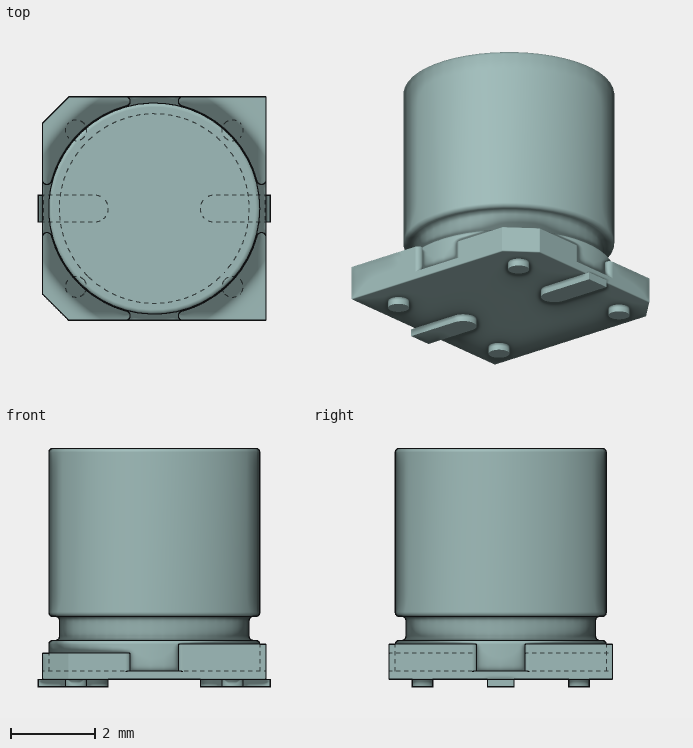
import cadquery as cq
import math

base_width = 5.3
base_bottom = 0.175
floor_top = 0.38
corner_cut = 0.625
edge_round = 0.02

low_post_top = 0.795
high_post_top = 1.01
cradle_radius = 2.52
post_face_start = 0.68

total_height = 5.65
can_diameter = 5.0
groove_diameter = 4.5
groove_bottom = 1.1
groove_top = 1.665
roll_radius = 0.095

terminal_span = 5.5
terminal_width = 0.64
terminal_inner_end = 1.09
pin_diameter = 0.5
pin_offset = 1.855

base_half = base_width / 2
can_radius = can_diameter / 2
groove_radius = groove_diameter / 2

post_room = post_face_start**2 + base_half**2 - cradle_radius**2
post_end_radius = post_room / (2 * (cradle_radius + base_half))
post_end_depth = base_half - post_end_radius


def make_base_block(bottom, top):
    """Square block with two cut corners on -X and softened upright edges."""
    height = top - bottom
    square = cq.Workplane("XY").workplane(offset=bottom).rect(base_width, base_width)
    block = square.extrude(height)
    block = block.edges("|Z and <X").chamfer(corner_cut)
    return block.edges("|Z").fillet(edge_round)


def make_floor_plate():
    plate = make_base_block(base_bottom, floor_top)
    return plate.faces("<Z or >Z").edges().fillet(edge_round)


def make_post(side_x, side_y, top):
    """One corner of the base block, hollowed by the cradle and with a full round at both ends."""
    bottom = base_bottom + edge_round
    cradle_angle = math.atan2(post_end_depth, post_face_start)
    tangent_near = cradle_radius * math.cos(cradle_angle)
    tangent_far = cradle_radius * math.sin(cradle_angle)
    cradle_middle = cradle_radius * math.sqrt(0.5)
    end_tip = post_face_start - post_end_radius

    def corner(x, y):
        return (side_x * x, side_y * y)

    post = (
        cq.Workplane("XY")
        .workplane(offset=bottom)
        .moveTo(*corner(base_half, post_face_start))
        .lineTo(*corner(base_half, base_half))
        .lineTo(*corner(post_face_start, base_half))
        .threePointArc(corner(end_tip, post_end_depth), corner(tangent_near, tangent_far))
        .threePointArc(corner(cradle_middle, cradle_middle), corner(tangent_far, tangent_near))
        .threePointArc(corner(post_end_depth, end_tip), corner(base_half, post_face_start))
        .close()
        .extrude(top - bottom)
    )
    post = post.intersect(make_base_block(bottom, top))
    return post.faces(">Z").edges().fillet(edge_round)


def make_can():
    """Revolved can whose rolled groove has a round lip, a flat shoulder and a round root on each side."""
    lip_edge = can_radius - roll_radius
    root_edge = groove_radius + roll_radius
    inset = roll_radius * (1 - math.sqrt(0.5))
    lip_middle = can_radius - inset
    root_middle = groove_radius + inset
    foot_bottom = base_bottom + edge_round

    profile = (
        cq.Workplane("XZ")
        .moveTo(0, foot_bottom)
        .lineTo(can_radius, foot_bottom)
        .lineTo(can_radius, groove_bottom - roll_radius)
        .threePointArc((lip_middle, groove_bottom - inset), (lip_edge, groove_bottom))
        .lineTo(root_edge, groove_bottom)
        .threePointArc((root_middle, groove_bottom + inset), (groove_radius, groove_bottom + roll_radius))
        .lineTo(groove_radius, groove_top - roll_radius)
        .threePointArc((root_middle, groove_top - inset), (root_edge, groove_top))
        .lineTo(lip_edge, groove_top)
        .threePointArc((lip_middle, groove_top + inset), (can_radius, groove_top + roll_radius))
        .lineTo(can_radius, total_height - roll_radius)
        .threePointArc((lip_middle, total_height - inset), (lip_edge, total_height))
        .lineTo(0, total_height)
        .close()
    )
    return profile.revolve(360, (0, 0, 0), (0, 1, 0))


def make_terminal(side_x):
    """Flat tab with a half-round inner end."""
    round_centre = terminal_inner_end + terminal_width / 2
    length = terminal_span / 2 - round_centre
    tab = (
        cq.Workplane("XY")
        .center(side_x * (round_centre + length / 2), 0)
        .rect(length, terminal_width)
        .extrude(base_bottom)
    )
    inner_end = cq.Workplane("XY").center(side_x * round_centre, 0).circle(terminal_width / 2)
    return tab.union(inner_end.extrude(base_bottom))


def make_pin(side_x, side_y):
    pin = cq.Workplane("XY").center(side_x * pin_offset, side_y * pin_offset)
    return pin.circle(pin_diameter / 2).extrude(base_bottom)


result = make_floor_plate()
for side_x, post_top in ((-1, low_post_top), (1, high_post_top)):
    result = result.union(make_terminal(side_x))
    for side_y in (-1, 1):
        result = result.union(make_post(side_x, side_y, post_top))
        result = result.union(make_pin(side_x, side_y))
result = result.union(make_can())